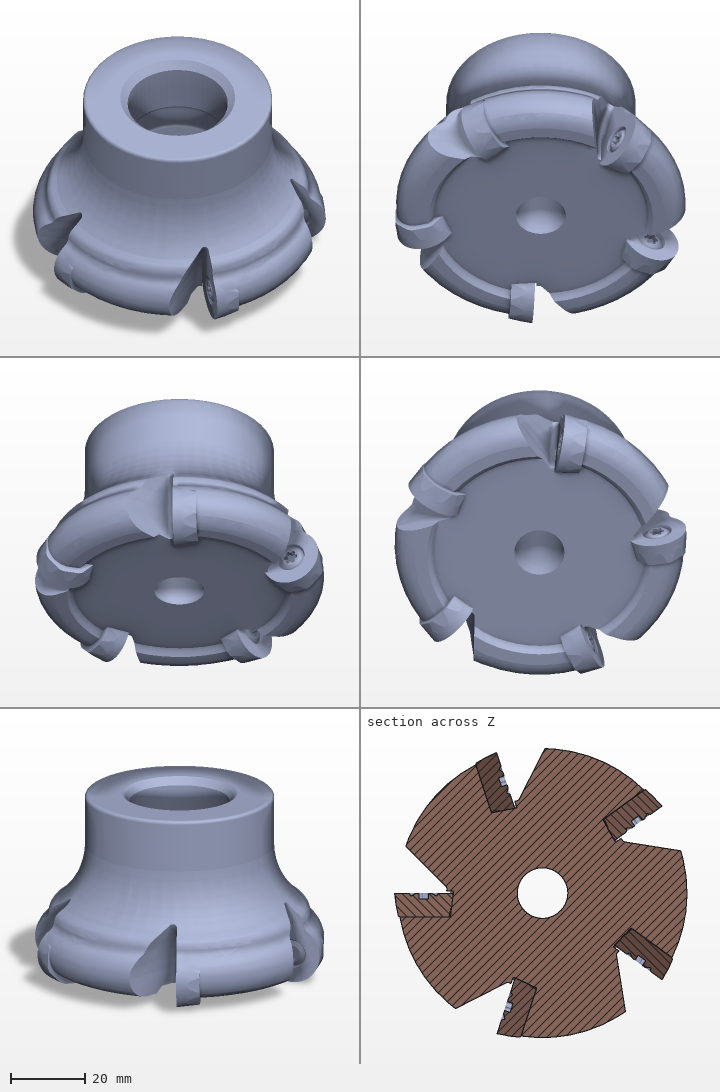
import cadquery as cq
import math


TOTAL_HEIGHT = 50.0
TOOTH_COUNT = 5
TOOTH_PITCH = 360 / TOOTH_COUNT
FIRST_TOOTH_ANGLE = 36
CUTTING_RADIUS = 39.95

SHANK_RADIUS = 51.0 / 2
SHANK_EDGE_RADIUS = 0.95
SHANK_BOTTOM = 35.9
FLARE_RADIUS = 20.8

FLARE_FOOT = (32.5, 20.45)
SHOULDER_TOP = (33.6, 19.6)
SHOULDER_ARC_RADIUS = 3.8
WAIST = (35.3, 16.9)
WAIST_ARC_RADIUS = 2.85

RIM_TOP = (36.5, 14.6)
RIM_WIDEST = (39.0, 9.0)
RIM_BOTTOM = (37.4, 4.8)
RIM_LOWEST = (33.55, 2.8)
RIM_LOWER_ARC_RADIUS = 6.2
RIM_INNER = (30.25, 2.8)
UNDERSIDE = (28.6, 4.5)

BORE_RADIUS = 27.0 / 2
BORE_CHAMFER = 2.0
BORE_DEPTH = 22.1
RELIEF_RADIUS = 27.5 / 2
RELIEF_DEPTH = 15
RELIEF_STEP_HEIGHT = 0.55
RELIEF_CORNER_RADIUS = 0.7
BOLT_HOLE_RADIUS = 13.5 / 2

INSERT_RADIUS = 8.0
INSERT_THICKNESS = 6.3
CLEARANCE_ANGLE = math.radians(7)
INSERT_BACK_RADIUS = INSERT_RADIUS - INSERT_THICKNESS * math.tan(CLEARANCE_ANGLE)
INSERT_PLACE = (CUTTING_RADIUS - INSERT_RADIUS, 0, INSERT_RADIUS)

FLAT_COUNT = 8
FLAT_TOP_DEPTH = 2.8
FLAT_TOP_RADIUS = INSERT_RADIUS - FLAT_TOP_DEPTH * math.tan(CLEARANCE_ANGLE)
FLAT_BACK_RADIUS = 6.9

COUNTERSINK_RADIUS = 8.05 / 2
SCREW_HEAD_RADIUS = 7.2 / 2
SCREW_TOP_RADIUS = 2.4
COUNTERSINK_DEPTH = 0.8
SOCKET_CORE_RADIUS = 1.4
SOCKET_LOBE_RADIUS = 0.55
SOCKET_LOBE_COUNT = 6
SOCKET_DEPTH = 1.6

GULLET_ROOT = 24.25
GULLET_ANGLE = math.radians(45)
GULLET_CORNER_RADIUS = 1.1
GULLET_LENGTH = 18.95
GULLET_CURVE_START = 9.0
GULLET_CURVE_RADIUS = 23.7
GULLET_CURVE_ANGLE = 60
FRONT_RECESS_DEPTH = 0.5


def cutter_blank():
    """Turned body without gullets and insert seats."""
    blank = (
        cq.Workplane("XZ")
        .moveTo(0, TOTAL_HEIGHT)
        .lineTo(SHANK_RADIUS, TOTAL_HEIGHT)
        .lineTo(SHANK_RADIUS, SHANK_BOTTOM)
        .radiusArc(FLARE_FOOT, -FLARE_RADIUS)
        .lineTo(*SHOULDER_TOP)
        .radiusArc(WAIST, SHOULDER_ARC_RADIUS)
        .radiusArc(RIM_TOP, -WAIST_ARC_RADIUS)
        .threePointArc(RIM_WIDEST, RIM_BOTTOM)
        .radiusArc(RIM_LOWEST, RIM_LOWER_ARC_RADIUS)
        .lineTo(*RIM_INNER)
        .lineTo(*UNDERSIDE)
        .lineTo(0, UNDERSIDE[1])
        .close()
        .revolve(360, (0, 0), (0, 1))
    )
    return blank.faces(">Z").edges().fillet(SHANK_EDGE_RADIUS)


def arbor_bore():
    """Chamfered bore with a wider relief below it and a bolt hole through the floor."""
    relief_top = TOTAL_HEIGHT - RELIEF_DEPTH
    floor = TOTAL_HEIGHT - BORE_DEPTH
    bore = (
        cq.Workplane("XZ")
        .moveTo(0, TOTAL_HEIGHT)
        .lineTo(BORE_RADIUS + BORE_CHAMFER, TOTAL_HEIGHT)
        .lineTo(BORE_RADIUS, TOTAL_HEIGHT - BORE_CHAMFER)
        .lineTo(BORE_RADIUS, relief_top)
        .lineTo(RELIEF_RADIUS, relief_top - RELIEF_STEP_HEIGHT)
        .lineTo(RELIEF_RADIUS, floor)
        .lineTo(0, floor)
        .close()
        .revolve(360, (0, 0), (0, 1))
        .faces("<Z")
        .edges()
        .fillet(RELIEF_CORNER_RADIUS)
    )
    bolt_hole = cq.Workplane("XY").circle(BOLT_HOLE_RADIUS).extrude(TOTAL_HEIGHT)
    return bore.union(bolt_hole)


def insert_cone():
    """Plain tapered disc of the insert: front face at Z = 0, back face below it."""
    return (
        cq.Workplane("XZ")
        .polyline(
            [
                (0, 0),
                (INSERT_RADIUS, 0),
                (INSERT_BACK_RADIUS, -INSERT_THICKNESS),
                (0, -INSERT_THICKNESS),
            ]
        )
        .close()
        .revolve(360, (0, 0), (0, 1))
    )


def indexing_flat():
    """Wedge that cuts one flat into the insert's side."""
    outside = 2 * INSERT_RADIUS
    return (
        cq.Workplane("XZ")
        .polyline(
            [
                (FLAT_TOP_RADIUS, -FLAT_TOP_DEPTH),
                (FLAT_BACK_RADIUS, -INSERT_THICKNESS),
                (outside, -INSERT_THICKNESS),
                (outside, -FLAT_TOP_DEPTH),
            ]
        )
        .close()
        .extrude(INSERT_RADIUS, both=True)
    )


def screw_recess():
    """Ring groove around the screw head, and the star socket in the head."""
    groove = (
        cq.Workplane("XZ")
        .polyline(
            [
                (COUNTERSINK_RADIUS, 0),
                (SCREW_HEAD_RADIUS, -COUNTERSINK_DEPTH),
                (SCREW_TOP_RADIUS, 0),
            ]
        )
        .close()
        .revolve(360, (0, 0), (0, 1))
    )
    core = cq.Workplane("XY").circle(SOCKET_CORE_RADIUS).extrude(-SOCKET_DEPTH)
    lobes = (
        cq.Workplane("XY")
        .polarArray(SOCKET_CORE_RADIUS, 0, 360, SOCKET_LOBE_COUNT)
        .circle(SOCKET_LOBE_RADIUS)
        .extrude(-SOCKET_DEPTH)
    )
    return groove.union(core.union(lobes))


def round_insert():
    """Insert with its clamping screw, front face at Z = 0."""
    insert = insert_cone().cut(screw_recess())
    for index in range(FLAT_COUNT):
        turned_flat = indexing_flat().rotate((0, 0, 0), (0, 0, 1), index * 360 / FLAT_COUNT)
        insert = insert.cut(turned_flat)
    return insert


def stand_up(shape):
    """Turn an insert-shaped solid so that it faces -Y, and move it to its place on the +X side."""
    return shape.rotate((0, 0, 0), (1, 0, 0), 90).translate(INSERT_PLACE)


def at_tooth(shape, index):
    """Turn a shape from the +X side to one of the teeth."""
    return shape.rotate((0, 0, 0), (0, 0, 1), FIRST_TOOTH_ANGLE + index * TOOTH_PITCH)


def insert_seat():
    """Conical seat and the shallow recess in front of the insert."""
    front_recess = cq.Workplane("XY").circle(INSERT_RADIUS).extrude(FRONT_RECESS_DEPTH)
    return stand_up(insert_cone().union(front_recess))


def gullet_section():
    """V with a rounded corner, on a level plane where the gullet starts to curve."""
    half_angle = GULLET_ANGLE / 2
    tangent_length = GULLET_CORNER_RADIUS / math.tan(half_angle)
    corner_distance = GULLET_CORNER_RADIUS / math.sin(half_angle) - GULLET_CORNER_RADIUS

    def from_root(distance, angle):
        return (GULLET_ROOT + distance * math.cos(angle), -distance * math.sin(angle))

    return (
        cq.Workplane("XY", origin=(0, 0, GULLET_CURVE_START))
        .moveTo(*from_root(GULLET_LENGTH, 0))
        .lineTo(*from_root(tangent_length, 0))
        .threePointArc(
            from_root(corner_distance, half_angle),
            from_root(tangent_length, GULLET_ANGLE),
        )
        .lineTo(*from_root(GULLET_LENGTH / math.cos(GULLET_ANGLE), GULLET_ANGLE))
        .close()
    )


def chip_gullet():
    """Gullet on the -Y side of the insert's front face: upright, then curving outwards."""
    upright = gullet_section().extrude(-GULLET_CURVE_START)
    curve_center = GULLET_ROOT + GULLET_CURVE_RADIUS
    curved = gullet_section().revolve(GULLET_CURVE_ANGLE, (curve_center, 0), (curve_center, 1))
    return upright.union(curved)


cutter_body = cutter_blank().cut(arbor_bore())
inserts = []
for tooth in range(TOOTH_COUNT):
    cutter_body = cutter_body.cut(at_tooth(chip_gullet(), tooth))
    cutter_body = cutter_body.cut(at_tooth(insert_seat(), tooth))
    inserts.append(at_tooth(stand_up(round_insert()), tooth))

result = cq.Compound.makeCompound([cutter_body.val(), *[insert.val() for insert in inserts]])